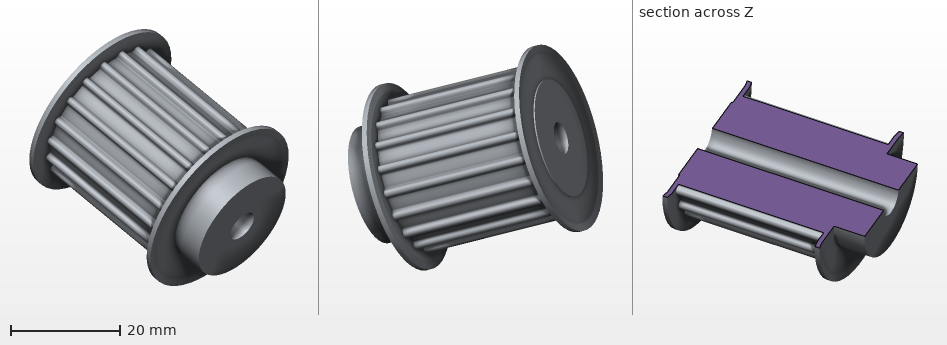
import cadquery as cq
import math


tooth_count = 19
tip_radius = 14.5
groove_depth = 1.12
groove_floor_width = 2.65
groove_flank_angle = math.radians(25)
groove_corner_fillet = 0.4
tip_fillet = 0.7
cutter_overshoot = 1.0

flange_radius = 17.5
flange_flat_radius = 16.0
flange_thickness = 1.0
rim_offset = 0.25
flange_span = 32.0

overall_length = 38.0
hub_radius = 11.0
bore_radius = 3.0

root_radius = tip_radius - groove_depth
tooth_pitch_angle = 360 / tooth_count
tooth_start = rim_offset + flange_thickness
tooth_length = flange_span - 2 * tooth_start


def cylinder_along_x(radius, start, length):
    return cq.Workplane("YZ").workplane(offset=start).circle(radius).extrude(length)


def groove_cutter():
    """Trapezoidal groove about +Z with a curved floor and rounded floor corners."""
    outer_height = tip_radius + cutter_overshoot
    floor_half = groove_floor_width / 2
    floor_height = math.sqrt(root_radius**2 - floor_half**2)
    outer_half = floor_half + (outer_height - floor_height) * math.tan(groove_flank_angle)
    cutter = (
        cq.Workplane("YZ")
        .workplane(offset=tooth_start)
        .moveTo(-outer_half, outer_height)
        .lineTo(-floor_half, floor_height)
        .threePointArc((0, root_radius), (floor_half, floor_height))
        .lineTo(outer_half, outer_height)
        .close()
        .extrude(tooth_length)
    )
    floor_corners = cq.selectors.BoxSelector(
        (0, -outer_half, 0), (overall_length, outer_half, root_radius)
    )
    return cutter.edges("|X").edges(floor_corners).fillet(groove_corner_fillet)


def toothed_body():
    """Cylinder with evenly spaced grooves; one tooth is centred on +Z."""
    body = cylinder_along_x(tip_radius, tooth_start, tooth_length)
    cutter = groove_cutter()
    for index in range(tooth_count):
        angle = (index + 0.5) * tooth_pitch_angle
        body = body.cut(cutter.rotate((0, 0, 0), (1, 0, 0), angle))

    def on_tip_circle(edge):
        centre = edge.Center()
        return math.hypot(centre.y, centre.z) > tip_radius - groove_depth / 2

    return body.edges("|X").filter(on_tip_circle).fillet(tip_fillet)


def left_flange():
    """Disc of constant thickness whose rim bends outward, toward -X."""
    return (
        cq.Workplane("XZ")
        .moveTo(rim_offset, 0)
        .lineTo(rim_offset, flange_flat_radius)
        .lineTo(0, flange_radius)
        .lineTo(flange_thickness, flange_radius)
        .lineTo(tooth_start, flange_flat_radius)
        .lineTo(tooth_start, 0)
        .close()
        .revolve(360, (0, 0, 0), (1, 0, 0))
    )


flange = left_flange()
opposite_flange = flange.mirror("YZ", (flange_span / 2, 0, 0))
hub = cylinder_along_x(hub_radius, 0, overall_length)
bore = cylinder_along_x(bore_radius, 0, overall_length)

result = toothed_body().union(flange).union(opposite_flange).union(hub).cut(bore)